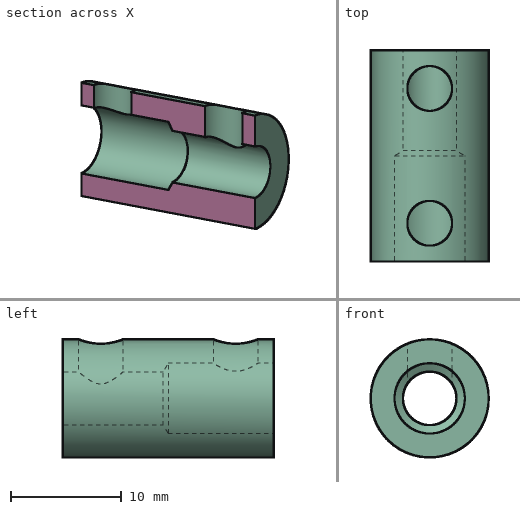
import cadquery as cq
import math

length = 19.05
outer_diameter = 10.67

wide_bore_diameter = 6.35
narrow_bore_diameter = 4.8
wide_bore_depth = length / 2
drill_point_angle = 118.0

screw_hole_diameter = 4.04
screw_hole_end_distance = 3.45

outer_radius = outer_diameter / 2
wide_radius = wide_bore_diameter / 2
narrow_radius = narrow_bore_diameter / 2
cone_length = (wide_radius - narrow_radius) / math.tan(math.radians(drill_point_angle / 2))

front_y = -length / 2
back_y = length / 2
cone_start_y = front_y + wide_bore_depth
cone_end_y = cone_start_y + cone_length

sleeve = (
    cq.Workplane("XY")
    .moveTo(wide_radius, front_y)
    .lineTo(outer_radius, front_y)
    .lineTo(outer_radius, back_y)
    .lineTo(narrow_radius, back_y)
    .lineTo(narrow_radius, cone_end_y)
    .lineTo(wide_radius, cone_start_y)
    .close()
    .revolve(360, (0, 0, 0), (0, 1, 0))
)

screw_hole_offset = length / 2 - screw_hole_end_distance
screw_holes = (
    cq.Workplane("XY")
    .pushPoints([(0, -screw_hole_offset), (0, screw_hole_offset)])
    .circle(screw_hole_diameter / 2)
    .extrude(outer_radius)
)

result = sleeve.cut(screw_holes)